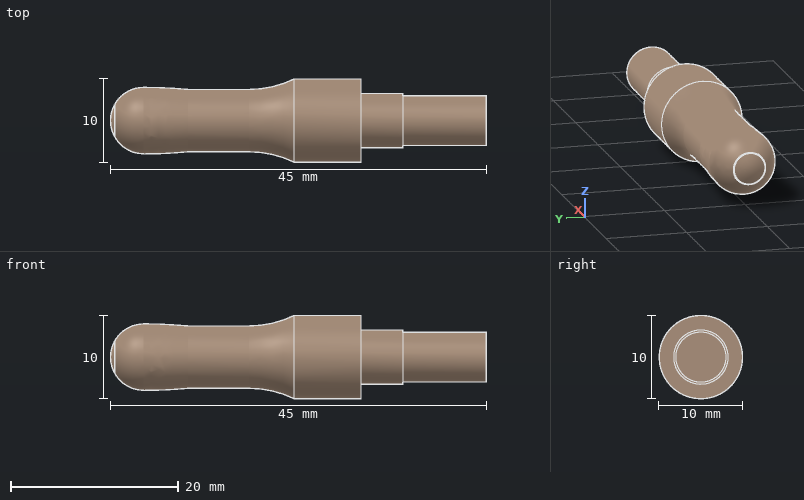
import cadquery as cq
import math


nose_radius = 8.0 / 2
waist_radius = 7.5 / 2
collar_radius = 10.0 / 2
waist_start = 9.3
waist_end = 16.6
collar_start = 22.0
sleeve_end = 30.0
bore_radius = 4.0 / 2

running_clearance = 0.1
journal_radius = bore_radius - running_clearance
shoulder_radius = 6.5 / 2
shank_radius = 6.0 / 2
shoulder_length = 5.0
shank_length = 10.0
shoulder_end = sleeve_end + shoulder_length
total_length = shoulder_end + shank_length


def nose_x(radius):
    """X position of the spherical nose surface at a distance from the axis."""
    return nose_radius - math.sqrt(nose_radius**2 - radius**2)


def nose_point_between(inner_radius, outer_radius):
    """Point on the nose sphere halfway between two distances from the axis."""
    radius = (inner_radius + outer_radius) / 2
    return nose_x(radius), radius


def flare_midpoint():
    """Middle of the concave flare, which leaves the waist tangentially and ends at the collar."""
    run = collar_start - waist_end
    rise = collar_radius - waist_radius
    flare_radius = (run**2 + rise**2) / (2 * rise)
    half_angle = math.asin(run / flare_radius) / 2
    return (
        waist_end + flare_radius * math.sin(half_angle),
        waist_radius + flare_radius * (1 - math.cos(half_angle)),
    )


def turn(profile):
    """Revolve a closed half profile about the X axis."""
    return profile.close().revolve(360, (0, 0, 0), (1, 0, 0))


def make_sleeve():
    profile = (
        cq.Workplane("XY")
        .moveTo(nose_x(bore_radius), bore_radius)
        .threePointArc(nose_point_between(bore_radius, nose_radius), (nose_radius, nose_radius))
        .tangentArcPoint((waist_start, waist_radius), relative=False)
        .lineTo(waist_end, waist_radius)
        .threePointArc(flare_midpoint(), (collar_start, collar_radius))
        .lineTo(sleeve_end, collar_radius)
        .lineTo(sleeve_end, bore_radius)
    )
    return turn(profile)


def make_spindle():
    profile = (
        cq.Workplane("XY")
        .moveTo(0, 0)
        .threePointArc(nose_point_between(0, journal_radius), (nose_x(journal_radius), journal_radius))
        .lineTo(sleeve_end, journal_radius)
        .lineTo(sleeve_end, shoulder_radius)
        .lineTo(shoulder_end, shoulder_radius)
        .lineTo(shoulder_end, shank_radius)
        .lineTo(total_length, shank_radius)
        .lineTo(total_length, 0)
    )
    return turn(profile)


sleeve = make_sleeve()
spindle = make_spindle()

result = cq.Compound.makeCompound([sleeve.val(), spindle.val()])